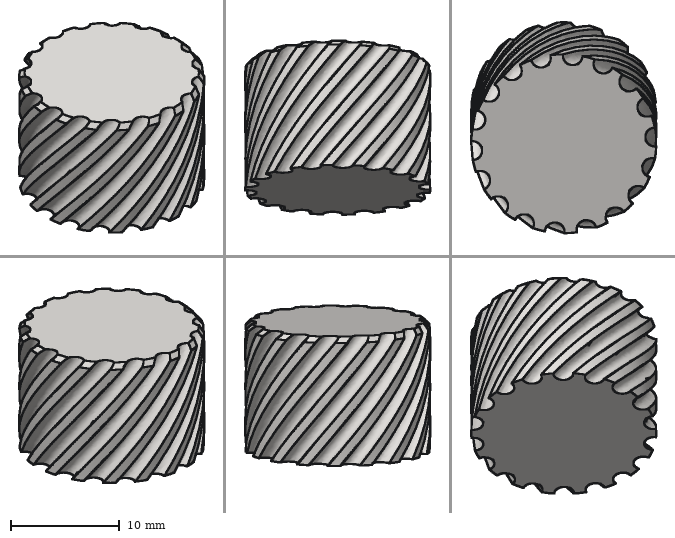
import cadquery as cq
import math

OUTER_RADIUS = 8.52
HEIGHT = 12.0
CHAMFER = 0.51
GROOVE_COUNT = 18
GROOVE_RADIUS = 0.9
GROOVE_FLOOR_RADIUS = 7.53
TWIST = 67.4
TOP_ANGLE = -1.0

groove_pitch = 360.0 / GROOVE_COUNT
groove_center_radius = GROOVE_FLOOR_RADIUS + GROOVE_RADIUS
base_angle = TOP_ANGLE - TWIST
groove_half_angle = math.degrees(math.acos(
    (OUTER_RADIUS**2 + groove_center_radius**2 - GROOVE_RADIUS**2)
    / (2 * OUTER_RADIUS * groove_center_radius)
))


def polar(radius, angle):
    """Point at a radius and an angle in degrees."""
    direction = math.radians(angle)
    return radius * math.cos(direction), radius * math.sin(direction)


def fluted_outline():
    """Cross-section at the base: round grooves alternating with outer lands."""
    outline = cq.Workplane("XY").moveTo(*polar(OUTER_RADIUS, base_angle - groove_half_angle))
    for index in range(GROOVE_COUNT):
        angle = base_angle + index * groove_pitch
        next_angle = angle + groove_pitch
        outline = outline.threePointArc(
            polar(GROOVE_FLOOR_RADIUS, angle),
            polar(OUTER_RADIUS, angle + groove_half_angle),
        )
        outline = outline.threePointArc(
            polar(OUTER_RADIUS, angle + groove_pitch / 2),
            polar(OUTER_RADIUS, next_angle - groove_half_angle),
        )
    return outline.close()


def top_chamfer_cutter():
    """Ring of material outside the chamfer cone, extending past the rim."""
    chamfer_base = HEIGHT - CHAMFER
    return (
        cq.Workplane("XZ")
        .polyline([
            (OUTER_RADIUS + CHAMFER, chamfer_base - CHAMFER),
            (OUTER_RADIUS + CHAMFER, HEIGHT + CHAMFER),
            (OUTER_RADIUS - 2 * CHAMFER, HEIGHT + CHAMFER),
        ])
        .close()
        .revolve(360, (0, 0, 0), (0, 1, 0))
    )


fluted_body = fluted_outline().twistExtrude(HEIGHT, TWIST)
result = fluted_body.cut(top_chamfer_cutter())